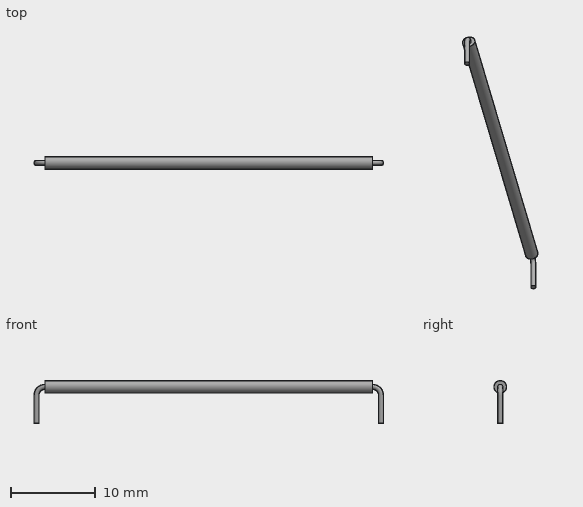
import cadquery as cq

wire_diameter = 0.6
sleeve_diameter = 1.5
pin_pitch = 40.64
overall_height = 5.05
bend_radius = 1.0
sleeve_length = pin_pitch - 2 * bend_radius

half_pitch = pin_pitch / 2
leg_bottom = sleeve_diameter / 2 - overall_height


def make_wire():
    """Round wire with a straight span and both ends bent down into legs."""
    half_span = half_pitch - bend_radius
    path = (
        cq.Workplane("XZ")
        .moveTo(-half_pitch, leg_bottom)
        .lineTo(-half_pitch, -bend_radius)
        .tangentArcPoint((-half_span, 0), relative=False)
        .lineTo(half_span, 0)
        .tangentArcPoint((half_pitch, -bend_radius), relative=False)
        .lineTo(half_pitch, leg_bottom)
    )
    section = cq.Workplane("XY", origin=(-half_pitch, 0, leg_bottom)).circle(wire_diameter / 2)
    return section.sweep(path)


def make_sleeve():
    """Cylindrical body around the straight span of the wire."""
    sleeve_start = (-sleeve_length / 2, 0, 0)
    return cq.Workplane("YZ", origin=sleeve_start).circle(sleeve_diameter / 2).extrude(sleeve_length)


result = make_sleeve().union(make_wire())